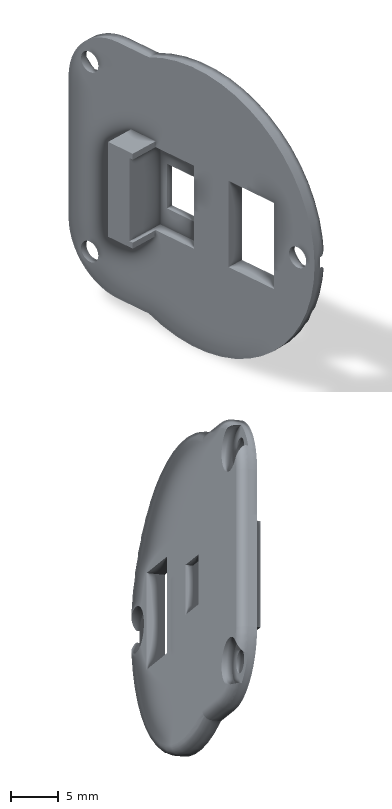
import cadquery as cq
import math

length = 35.25
height = 34.0
thickness = 2.0
rim_radius = 1.0
left_x = -length / 2
disc_radius = height / 2
disc_x = length / 2 - disc_radius
block_half_height = 15.6
corner_radius = 7.05

screw_radius = 1.25
counterbore_radius = 2.5
counterbore_depth = 1.2
corner_screw_x = -14.6
corner_screw_z = 11.55
end_screw_x = 15.2
screw_points = [
    (corner_screw_x, corner_screw_z),
    (corner_screw_x, -corner_screw_z),
    (end_screw_x, 0),
]

bar_left = -8.67
bar_width = 3.52
bar_height = 11.55
bar_projection = 3.5

recess_left = -5.6
recess_width = 5.95
recess_height = 10.1
recess_depth = 1.2

slot_width = 4.05
slot_height = 5.43
slot_left = recess_left + (recess_width - slot_width) / 2

window_left = 5.32
window_width = 6.52
window_height = 10.5


def block(left, width, tall, front, back):
    """Box centred on Z = 0, from its left side and its front and back Y."""
    box = cq.Workplane("XY").box(width, back - front, tall, centered=(False, False, True))
    return box.translate((left, front, 0))


def cylinder(point, radius, front, back):
    """Cylinder along Y, centred on an (x, z) point."""
    plane = cq.Workplane("XZ", origin=(point[0], front, point[1]))
    return plane.circle(radius).extrude(front - back)


def make_plate():
    """Plate outline extruded towards +Y, with its back edge rounded."""
    neck_x = disc_x - math.sqrt(disc_radius**2 - block_half_height**2)
    straight_half = block_half_height - corner_radius
    corner_x = left_x + corner_radius
    diagonal = corner_radius * math.sqrt(0.5)
    arc_x = corner_x - diagonal
    arc_z = straight_half + diagonal
    outline = (
        cq.Workplane("XZ")
        .moveTo(left_x, -straight_half)
        .lineTo(left_x, straight_half)
        .threePointArc((arc_x, arc_z), (corner_x, block_half_height))
        .lineTo(neck_x, block_half_height)
        .threePointArc((disc_x + disc_radius, 0), (neck_x, -block_half_height))
        .lineTo(corner_x, -block_half_height)
        .threePointArc((arc_x, -arc_z), (left_x, -straight_half))
        .close()
    )
    return outline.extrude(-thickness).faces(">Y").edges().fillet(rim_radius)


result = make_plate()
result = result.union(block(bar_left, bar_width, bar_height, -bar_projection, thickness / 2))

result = result.cut(block(recess_left, recess_width, recess_height, -bar_projection, recess_depth))
result = result.cut(block(slot_left, slot_width, slot_height, 0, thickness))
result = result.cut(block(window_left, window_width, window_height, 0, thickness))

for screw_point in screw_points:
    result = result.cut(cylinder(screw_point, screw_radius, 0, thickness))
    counterbore_floor = thickness - counterbore_depth
    result = result.cut(cylinder(screw_point, counterbore_radius, counterbore_floor, thickness))